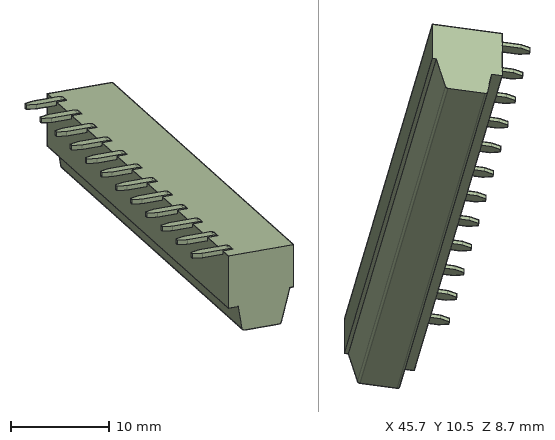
import cadquery as cq

length = 45.7
pole_count = 12
pitch = length / pole_count

overall_height = 8.7
pin_proud = 0.15
housing_height = overall_height - pin_proud
housing_depth = 7.25
front_step_height = 2.75
front_step_depth = 1.1
front_foot_inset = 1.55
back_step_height = 3.85
back_step_depth = 0.4
back_foot_inset = 1.4
foot_radius = 0.27

overall_depth = 10.5
pin_reach = overall_depth - housing_depth
pin_width = 0.95
pin_thickness = 0.5
pin_bend_radius = 0.8
pin_bend_start = 0.7
pin_leg_length = 1.85
pin_taper_length = 1.0
pin_tip_width = 0.35


def make_housing():
    """Extrude the stepped, tapering section and round its two bottom edges."""
    section = [
        (0, housing_height),
        (0, front_step_height),
        (front_step_depth, front_step_height),
        (front_foot_inset, 0),
        (housing_depth - back_foot_inset, 0),
        (housing_depth - back_step_depth, back_step_height),
        (housing_depth, back_step_height),
        (housing_depth, housing_height),
    ]
    block = cq.Workplane("YZ").polyline(section).close().extrude(length)
    return block.faces("<Z").edges("|X").fillet(foot_radius)


def make_pin():
    """Build one pin centred on X = 0."""
    inner_radius = pin_bend_radius - pin_thickness
    leg_back = pin_bend_start + pin_bend_radius
    bend_bottom = overall_height - pin_bend_radius
    leg_bottom = bend_bottom - pin_leg_length
    strip = (
        cq.Workplane("YZ")
        .moveTo(-pin_reach, overall_height)
        .lineTo(pin_bend_start, overall_height)
        .radiusArc((leg_back, bend_bottom), pin_bend_radius)
        .lineTo(leg_back, leg_bottom)
        .lineTo(leg_back - pin_thickness, leg_bottom)
        .lineTo(leg_back - pin_thickness, bend_bottom)
        .radiusArc((pin_bend_start, overall_height - pin_thickness), -inner_radius)
        .lineTo(-pin_reach, overall_height - pin_thickness)
        .close()
        .extrude(pin_width / 2, both=True)
    )
    taper_start = pin_taper_length - pin_reach
    plan = [
        (-pin_tip_width / 2, -pin_reach),
        (pin_tip_width / 2, -pin_reach),
        (pin_width / 2, taper_start),
        (pin_width / 2, leg_back),
        (-pin_width / 2, leg_back),
        (-pin_width / 2, taper_start),
    ]
    outline = cq.Workplane("XY").polyline(plan).close().extrude(overall_height)
    return strip.intersect(outline)


result = make_housing()
pin = make_pin()
for pole in range(pole_count):
    pin_x = (pole + 0.5) * pitch
    result = result.union(pin.translate((pin_x, 0, 0)))